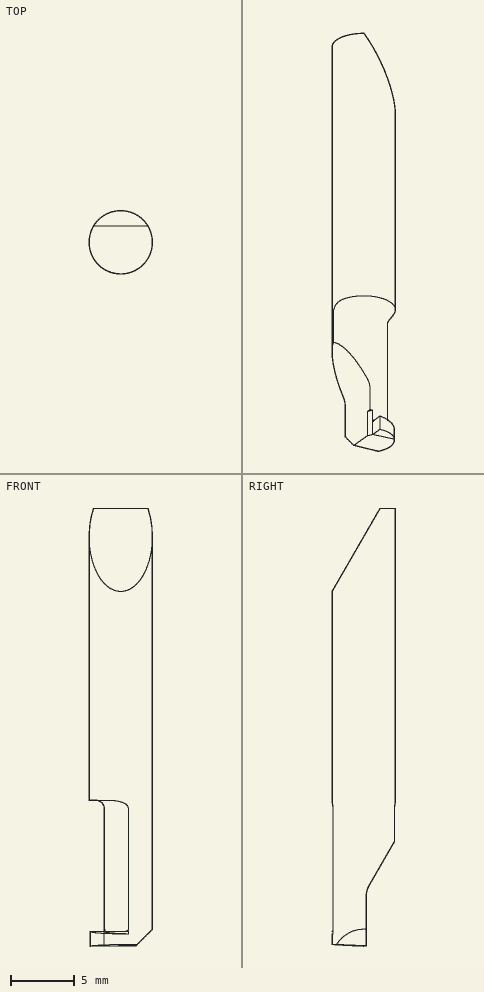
import cadquery as cq
import math

length = 34.5
radius = 2.5
margin = 1.72
block_size = 6 * radius
space_size = 3 * length

bevel_angle = 30.0
bevel_top_y = 1.28

shoulder_z = 11.5
neck_left_x = -1.3
neck_center_x = neck_left_x + radius
shoulder_fillet = 0.62

back_y = 0.2
back_start_z = 8.4
back_angle = 30.0
back_blend = 1.72

head_top_z = 1.17
head_radius = 2.4
land_depth = 0.35
head_end_x = 0.25
head_fillet = 0.15
rake_y = -0.05
rake_top_z = 2.15
rake_end_x = -0.9
rake_slope_width = 0.4
top_relief = 4.5
bottom_relief = 2.5
edge_tilt = 0.8
corner_chamfer = 1.35


def on_circle(circle_radius, x):
    """Y of the -Y half of a circle about the bar axis."""
    return -math.sqrt(circle_radius**2 - x**2)


land_y = rake_y - land_depth
land_x = -math.sqrt(head_radius**2 - land_y**2)
split_y = on_circle(head_radius, neck_left_x)
arc_mid_angle = (math.atan2(land_y, land_x) + math.atan2(split_y, neck_left_x)) / 2
arc_mid = (head_radius * math.cos(arc_mid_angle), head_radius * math.sin(arc_mid_angle))
head_end_y = on_circle(radius, head_end_x)
neck_edge_x = neck_center_x / 2
neck_edge_y = on_circle(radius, neck_edge_x)


def yz_cutter(points):
    """Prism across the whole bar from a (Y, Z) outline."""
    return cq.Workplane("YZ").polyline(points).close().extrude(radius + margin, both=True)


def make_bevel_cut():
    slope = math.tan(math.radians(bevel_angle))
    high_z = length + margin
    far_y = -radius - margin
    return yz_cutter([
        (bevel_top_y + margin * slope, high_z),
        (far_y, length - (bevel_top_y - far_y) / slope),
        (far_y, high_z),
    ])


def make_neck_groove():
    """Material beside the neck, rounded where it meets the shoulder."""
    block = (
        cq.Workplane("XY", origin=(0, 0, -margin))
        .rect(block_size, block_size)
        .extrude(shoulder_z + margin)
    )
    neck = (
        cq.Workplane("XY", origin=(neck_center_x, 0, -margin))
        .circle(radius)
        .extrude(shoulder_z + margin)
    )
    flare = (
        cq.Workplane("XZ")
        .moveTo(radius, shoulder_z - shoulder_fillet)
        .radiusArc((radius + shoulder_fillet, shoulder_z), shoulder_fillet)
        .lineTo(0, shoulder_z)
        .lineTo(0, shoulder_z - shoulder_fillet)
        .close()
        .revolve(360, (0, 0, 0), (0, 1, 0))
        .translate((neck_center_x, 0, 0))
    )
    return block.cut(neck).cut(flare)


def make_back_cut():
    slope = math.tan(math.radians(back_angle))
    far_y = radius + margin
    bend_z = back_start_z - (radius - back_y) / slope
    cutter = yz_cutter([
        (back_y, -margin),
        (far_y, -margin),
        (far_y, back_start_z + margin / slope),
        (back_y, bend_z),
    ])
    bend = cq.selectors.BoxSelector(
        (-2 * radius, back_y - 0.05, bend_z - 0.05), (2 * radius, back_y + 0.05, bend_z + 0.05)
    )
    return cutter.edges(bend).fillet(back_blend)


def make_rake_cut():
    """Chip clearance that thins the back of the head from the -X side."""
    left_x = -radius - margin
    return (
        cq.Workplane("XY", origin=(0, 0, -margin))
        .moveTo(left_x, rake_y)
        .lineTo(rake_end_x - rake_slope_width, rake_y)
        .lineTo(rake_end_x, back_y)
        .lineTo(rake_end_x, back_y + margin)
        .lineTo(left_x, back_y + margin)
        .close()
        .extrude(rake_top_z + margin)
    )


def make_relief_spaces():
    """Space above the tilted bottom face, and space below the tilted top face."""
    block = cq.Workplane("XY").box(space_size, space_size, space_size)
    above_bottom = (
        block.translate((0, 0, space_size / 2))
        .rotate((0, 0, 0), (1, 0, 0), -bottom_relief)
        .rotate((0, 0, 0), (0, 1, 0), -edge_tilt)
        .translate((-head_radius, 0, 0))
    )
    below_top = (
        block.translate((0, 0, -space_size / 2))
        .rotate((0, 0, 0), (1, 0, 0), top_relief)
        .translate((0, 0, head_top_z))
    )
    return above_bottom, below_top


def make_head_flare():
    """Small concave round between the neck and the top of the head."""
    return (
        cq.Workplane("XZ")
        .moveTo(radius, head_top_z + head_fillet)
        .radiusArc((radius + head_fillet, head_top_z), -head_fillet)
        .lineTo(0, head_top_z)
        .lineTo(0, head_top_z + head_fillet)
        .close()
        .revolve(360, (0, 0, 0), (0, 1, 0))
        .translate((neck_center_x, 0, 0))
    )


def make_base(above_bottom, below_top):
    """Part of the head that stays on the holder, beside the tip."""
    outline = (
        cq.Workplane("XY", origin=(0, 0, -margin))
        .moveTo(neck_left_x, back_y)
        .lineTo(neck_left_x, split_y)
        .radiusArc((head_end_x, head_end_y), -radius)
        .radiusArc((neck_edge_x, neck_edge_y), -radius)
        .lineTo(neck_edge_x, back_y)
        .close()
        .extrude(head_top_z + 2 * margin)
    )
    pad = outline.intersect(above_bottom).intersect(below_top)
    return pad.union(outline.intersect(make_head_flare()))


def make_chamfer_cut():
    return (
        cq.Workplane("XZ")
        .moveTo(radius - corner_chamfer - margin, -margin)
        .lineTo(radius + margin, corner_chamfer + margin)
        .lineTo(radius + margin, -margin)
        .close()
        .extrude(radius + margin, both=True)
    )


def make_holder(above_bottom, below_top):
    holder = cq.Workplane("XY").circle(radius).extrude(length)
    holder = holder.cut(make_bevel_cut()).cut(make_neck_groove())
    holder = holder.union(make_base(above_bottom, below_top))
    holder = holder.cut(make_back_cut()).cut(make_rake_cut()).cut(make_chamfer_cut())
    return holder.intersect(above_bottom).clean()


def make_tip(above_bottom, below_top):
    """Cutting hook standing out from the -X side of the head."""
    outline = (
        cq.Workplane("XY", origin=(0, 0, -margin))
        .moveTo(neck_left_x, rake_y)
        .lineTo(-head_radius, rake_y)
        .lineTo(land_x, land_y)
        .threePointArc(arc_mid, (neck_left_x, split_y))
        .close()
        .extrude(head_top_z + 2 * margin)
    )
    return outline.intersect(above_bottom).intersect(below_top)


bottom_space, top_space = make_relief_spaces()
holder = make_holder(bottom_space, top_space)
tip = make_tip(bottom_space, top_space)
result = cq.Compound.makeCompound([holder.val(), tip.val()])